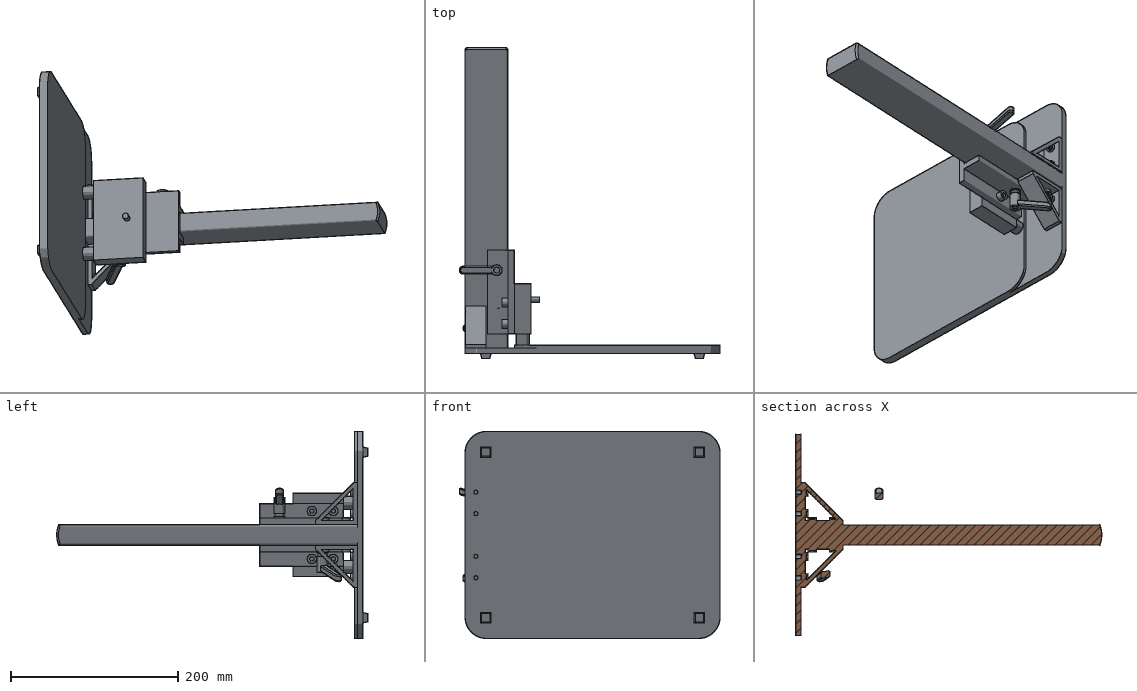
import cadquery as cq
import math

overall_length = 372.0

plate_width = 305.0
plate_height = 248.0
plate_corner_radius = 26.0
front_layer = 6.7
back_layer = 3.5
plate_back = front_layer + back_layer

foot_size = 12.5
foot_height = 6.0
foot_tip_size = 9.5
foot_inset = 25.0

tube_width = 51.5
tube_height = 25.0
tube_end = overall_length - foot_height
tube_radius = 3.0
cap_arch = 2.5
cap_bevel = 2.2
tube_half = tube_height / 2

bracket_left = 0.7
bracket_depth = 24.5
bracket_middle = bracket_left + bracket_depth / 2
bracket_leg = 50.2
bracket_thickness = 5.0
bracket_end = 4.5
bracket_hole_diameter = 5.0
bracket_head_diameter = 10.0
bracket_head_height = 3.5
bracket_socket_depth = 2.0
bracket_screw_offsets = (13.0, 38.7)

socket_diameter = 5.2

carriage_start = 23.5
carriage_length = 100.0
carriage_thickness = 8.0
carriage_half_height = 37.5
carriage_round = 1.0
shelf_left = 26.8
shelf_outer = tube_half + carriage_thickness
wall_back = tube_width + carriage_thickness

screw_head_diameter = 11.0
screw_head_height = 7.0
screw_socket_depth = 3.0
screw_places_y = (35.5, 61.0)
screw_place_z = 28.5

block_depth = 20.0
block_length = 60.3
block_height = 99.7
block_middle = wall_back + block_depth / 2
rod_diameter = 16.0
rod_place_z = 38.5
stud_diameter = 7.0
stud_length = 10.0
stud_place_y = 64.5

lever_x = 38.0
upper_lever_y = 99.7
lower_lever_y = 48.5
lower_lever_turn = 27
hub_diameter = 13.0
hub_height = 24.5
hub_collar = 1.5
neck_diameter = 11.0
neck_top = 5.5
hub_socket_diameter = 7.0
hub_socket_depth = 2.0
arm_reach = 44.5
arm_width = 9.5
arm_thickness = 8.2
arm_root_height = 18.5
arm_tip_height = 32.0
arm_edge = 1.5


def box(x_range, y_range, z_range):
    """Box between pairs of limits along X, Y and Z."""
    sizes = [high - low for low, high in (x_range, y_range, z_range)]
    corner = (x_range[0], y_range[0], z_range[0])
    return cq.Workplane("XY").box(*sizes, centered=False).translate(corner)


def cylinder(start, direction, diameter, length):
    return cq.Workplane(cq.Solid.makeCylinder(diameter / 2, length, cq.Vector(*start), cq.Vector(*direction)))


def mirrored(body):
    """Body joined with its mirror image below the XY plane."""
    return body.union(body.mirror("XY"))


def plate_layer(left, y_start, thickness):
    half = plate_height / 2
    layer = box((left, plate_width), (y_start, y_start + thickness), (-half, half))
    return layer.edges("|Y").fillet(plate_corner_radius)


def make_plate():
    plate = plate_layer(0, 0, front_layer).union(plate_layer(wall_back, front_layer, back_layer))
    taper = math.degrees(math.atan((foot_size - foot_tip_size) / 2 / foot_height))
    feet = (
        cq.Workplane("XZ")
        .center(plate_width / 2, 0)
        .rarray(plate_width - 2 * foot_inset, plate_height - 2 * foot_inset, 2, 2)
        .rect(foot_size, foot_size)
        .extrude(foot_height, taper=taper)
    )
    return plate.union(feet)


def make_tube():
    """Tube with rounded edges and a slightly arched end."""
    shoulder = tube_end - cap_arch
    tube = (
        cq.Workplane("YZ")
        .moveTo(front_layer, -tube_half)
        .lineTo(shoulder, -tube_half)
        .threePointArc((tube_end, 0), (shoulder, tube_half))
        .lineTo(front_layer, tube_half)
        .close()
        .extrude(tube_width)
    )
    cap_edges = tube.faces(">Y").edges("not |X")
    return cap_edges.chamfer(cap_bevel).edges("|Y").fillet(tube_radius)


def make_socket_head(start, direction, diameter, height, socket_depth):
    """Round screw head standing on a surface, with a round socket in its top."""
    socket_start = [place + (height - socket_depth) * step for place, step in zip(start, direction)]
    head = cylinder(start, direction, diameter, height)
    return head.cut(cylinder(socket_start, direction, socket_diameter, socket_depth))


def make_bracket():
    """Triangular frame between tube and plate, with two screw heads on each of its legs."""
    y_inner = front_layer + bracket_thickness
    z_inner = tube_half + bracket_thickness
    y_outer = front_layer + bracket_leg
    z_outer = tube_half + bracket_leg
    strut_run = bracket_thickness * math.sqrt(2)
    opening = y_outer + tube_half + bracket_end - strut_run - y_inner - z_inner
    frame = (
        cq.Workplane("YZ", origin=(bracket_left, 0, 0))
        .polyline([
            (front_layer, tube_half),
            (y_outer, tube_half),
            (y_outer, tube_half + bracket_end),
            (front_layer + bracket_end, z_outer),
            (front_layer, z_outer),
        ])
        .close()
        .polyline([(y_inner, z_inner), (y_inner + opening, z_inner), (y_inner, z_inner + opening)])
        .close()
        .extrude(bracket_depth)
    )
    head_sizes = (bracket_head_diameter, bracket_head_height, bracket_socket_depth)
    for offset in bracket_screw_offsets:
        on_plate_leg = (bracket_middle, y_inner, tube_half + offset)
        on_tube_leg = (bracket_middle, front_layer + offset, z_inner)
        frame = frame.union(make_socket_head(on_plate_leg, (0, 1, 0), *head_sizes))
        frame = frame.union(make_socket_head(on_tube_leg, (0, 0, 1), *head_sizes))
    return frame


def make_carriage():
    y_range = (carriage_start, carriage_start + carriage_length)
    wall = box((tube_width, wall_back), y_range, (-carriage_half_height, carriage_half_height))
    shelf = box((shelf_left, wall_back), y_range, (tube_half, shelf_outer))
    carriage = wall.union(mirrored(shelf))
    wall_tips = carriage.faces("<Z or >Z").edges("<X")
    carriage = wall_tips.fillet(carriage_round)
    shelf_tips = carriage.faces("<X").edges("<Z or >Z")
    return shelf_tips.fillet(carriage_round)


def make_screw(y):
    start = (tube_width, y, screw_place_z)
    return make_socket_head(start, (-1, 0, 0), screw_head_diameter, screw_head_height, screw_socket_depth)


def make_block():
    half = block_height / 2
    y_range = (carriage_start, carriage_start + block_length)
    block = box((wall_back, wall_back + block_depth), y_range, (-half, half))
    rod_length = carriage_start - plate_back
    rod = cylinder((block_middle, plate_back, rod_place_z), (0, 1, 0), rod_diameter, rod_length)
    stud_start = (wall_back + block_depth, stud_place_y, 0)
    return block.union(mirrored(rod)).union(cylinder(stud_start, (1, 0, 0), stud_diameter, stud_length))


def make_lever():
    """Lever with its hub standing on the XY plane and its rising arm pointing to -X."""
    half = arm_thickness / 2
    profile = (
        cq.Workplane("XZ")
        .polyline([
            (0, arm_root_height - half),
            (-arm_reach, arm_tip_height - half),
            (-arm_reach, arm_tip_height + half),
            (0, arm_root_height + half),
        ])
        .close()
        .extrude(arm_width / 2, both=True)
    )
    outline = (
        cq.Workplane("XY", origin=(-arm_reach / 2 + arm_width / 2, 0, 0))
        .slot2D(arm_reach + arm_width, arm_width)
        .extrude(arm_tip_height + half)
    )
    arm = profile.intersect(outline).edges("not(<X or >X or |Y or |Z)").chamfer(arm_edge)
    hub = cylinder((0, 0, 0), (0, 0, 1), hub_diameter, hub_collar)
    hub = hub.union(cylinder((0, 0, 0), (0, 0, 1), neck_diameter, neck_top))
    hub = hub.union(cylinder((0, 0, neck_top), (0, 0, 1), hub_diameter, hub_height - neck_top))
    socket_floor = hub_height - hub_socket_depth
    socket = cylinder((0, 0, socket_floor), (0, 0, 1), hub_socket_diameter, hub_socket_depth)
    return hub.union(arm).cut(socket)


def make_levers():
    lever = make_lever()
    upper = lever.translate((lever_x, upper_lever_y, shelf_outer))
    lower = lever.mirror("XY").rotate((0, 0, 0), (0, 0, 1), lower_lever_turn)
    return upper, lower.translate((lever_x, lower_lever_y, -shelf_outer))


result = make_plate().union(make_tube()).union(mirrored(make_bracket()))
result = result.union(make_carriage()).union(make_block())
for screw_y in screw_places_y:
    result = result.union(mirrored(make_screw(screw_y)))
for clamp_lever in make_levers():
    result = result.union(clamp_lever)
for offset in bracket_screw_offsets:
    for side in (-1, 1):
        start = (bracket_middle, 0, side * (tube_half + offset))
        result = result.cut(cylinder(start, (0, 1, 0), bracket_hole_diameter, front_layer))